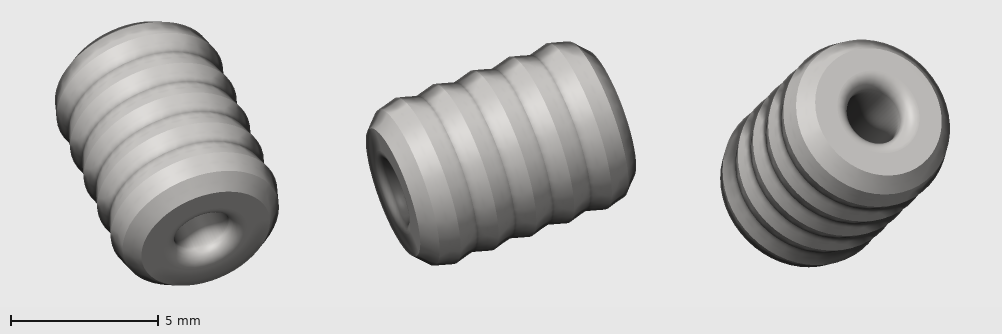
import cadquery as cq
import math

length = 8.0
crest_diameter = 6.0
bore_diameter = 2.0
ridge_count = 5
ridge_pitch = 1.4
flank_angle = 15.0

half_length = length / 2
half_pitch = ridge_pitch / 2
crest_radius = crest_diameter / 2
bore_radius = bore_diameter / 2
valley_radius = crest_radius - half_pitch * math.tan(math.radians(flank_angle))
ridged_length = ridge_count * ridge_pitch
end_chamfer = (length - ridged_length) / 2
end_radius = valley_radius - end_chamfer
bore_rounding = end_chamfer


def ridge_points():
    """Outer profile (x, radius), from valley to crest to valley along the sleeve."""
    start = -ridged_length / 2
    points = [(start, valley_radius)]
    for ridge in range(ridge_count):
        ridge_start = start + ridge * ridge_pitch
        points.append((ridge_start + half_pitch, crest_radius))
        points.append((ridge_start + ridge_pitch, valley_radius))
    return points


def ridged_body():
    """Solid of revolution about X with bevelled ends."""
    outline = [(-half_length, 0), (-half_length, end_radius)]
    outline += ridge_points()
    outline += [(half_length, end_radius), (half_length, 0)]
    profile = cq.Workplane("XY").polyline(outline).close()
    return profile.revolve(360, (0, 0, 0), (1, 0, 0))


def rounded_bore():
    """Through bore that flares with a convex quarter-round at both mouths."""
    mouth_radius = bore_radius + bore_rounding
    straight_end = half_length - bore_rounding
    arc_offset = bore_rounding * math.sqrt(0.5)
    arc_x = straight_end + arc_offset
    arc_radius = mouth_radius - arc_offset
    profile = (
        cq.Workplane("XY")
        .moveTo(-half_length, 0)
        .lineTo(-half_length, mouth_radius)
        .threePointArc((-arc_x, arc_radius), (-straight_end, bore_radius))
        .lineTo(straight_end, bore_radius)
        .threePointArc((arc_x, arc_radius), (half_length, mouth_radius))
        .lineTo(half_length, 0)
        .close()
    )
    return profile.revolve(360, (0, 0, 0), (1, 0, 0))


result = ridged_body().cut(rounded_bore())